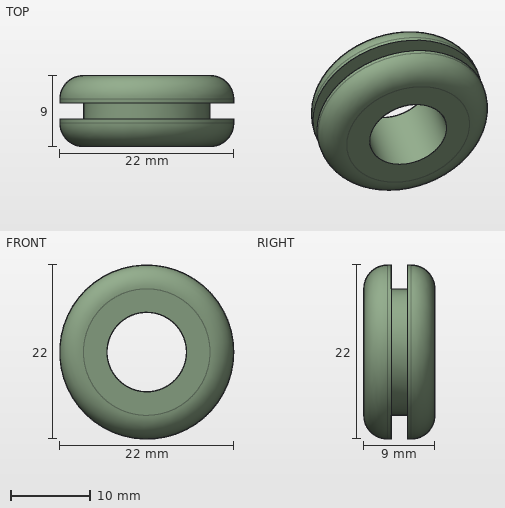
import cadquery as cq

outer_diameter = 22
total_width = 9.0
bore_diameter = 10.0
groove_diameter = 16.0
groove_width = 2.0

outer_radius = outer_diameter / 2
bore_radius = bore_diameter / 2
groove_radius = groove_diameter / 2
half_width = total_width / 2
half_groove = groove_width / 2
rim_radius = outer_radius - groove_radius


def flange_rim(body, face):
    """Round the outer edge of the flange on the given end face."""
    return body.faces(face).edges(cq.selectors.RadiusNthSelector(-1)).fillet(rim_radius)


profile = (
    cq.Workplane("XY")
    .moveTo(bore_radius, -half_width)
    .lineTo(outer_radius, -half_width)
    .lineTo(outer_radius, -half_groove)
    .lineTo(groove_radius, -half_groove)
    .lineTo(groove_radius, half_groove)
    .lineTo(outer_radius, half_groove)
    .lineTo(outer_radius, half_width)
    .lineTo(bore_radius, half_width)
    .close()
)
result = profile.revolve(360, (0, 0, 0), (0, 1, 0))

for end_face in ("<Y", ">Y"):
    result = flange_rim(result, end_face)